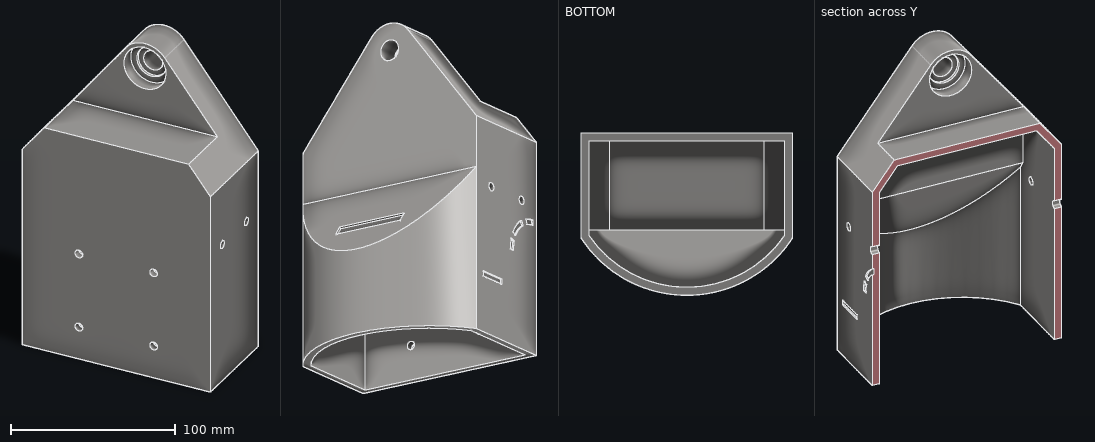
import cadquery as cq
import math

width = 128.3
block_depth = 63.7
total_depth = 98.5
total_height = 207.0
shoulder_height = 136.0
step_height = 154.8
belly_low_height = 53.5
belly_top_height = 103.5
wall = 5.0

lug_thickness = 25.7
lug_radius = 17.2
bearing_seat = (28.5, 9.1)
relief = (20.3, 11.0)
shaft_hole = (13.0, lug_thickness)

screw_diameter = 5.2
front_hole_spacing = 51.0
front_hole_low_height = 22.1
side_hole_height = 94.8

belly_groove_length = 47.5
belly_groove_width = 7.0
belly_groove_depth = 1.5
belly_groove_y = 84.6
side_groove_depth = 1.0
side_groove_width = 3.3
bar_groove_length = 19.5
bar_groove_y = 46.5
bar_groove_height = 37.3
arc_groove_outer_radius = 24.5
arc_groove_y = 3.3
arc_groove_height = 61.0
arc_groove_spans = [(-1, 16), (27, 59), (71, 89)]

half_width = width / 2
belly_bulge = total_depth - block_depth
belly_radius = (half_width**2 + belly_bulge**2) / (2 * belly_bulge)
belly_axis_y = total_depth - belly_radius
belly_slope = (belly_top_height - belly_low_height) / belly_bulge
lug_front = block_depth - lug_thickness
lug_center_height = total_height - lug_radius

lug_rise = lug_center_height - shoulder_height
touch_angle = math.acos(lug_radius / math.hypot(half_width, lug_rise)) - math.atan2(lug_rise, half_width)
touch_x = lug_radius * math.cos(touch_angle)
touch_height = lug_center_height + lug_radius * math.sin(touch_angle)
shoulder_slope = (touch_height - shoulder_height) / (half_width - touch_x)


def make_block():
    """Block with sloping shoulders, narrowing to the lug and cut back above the step."""
    block = (
        cq.Workplane("XZ")
        .moveTo(-half_width, 0)
        .lineTo(half_width, 0)
        .lineTo(half_width, shoulder_height)
        .lineTo(touch_x, touch_height)
        .threePointArc((0, total_height), (-touch_x, touch_height))
        .lineTo(-half_width, shoulder_height)
        .close()
        .extrude(-block_depth)
    )
    in_front_of_lug = cq.Workplane("XY", origin=(0, 0, step_height)).box(
        width, lug_front, total_height - step_height, centered=(True, False, False)
    )
    return block.cut(in_front_of_lug)


def make_belly(inset):
    """Belly with its back and sloping top moved inward by inset, reaching forward into the block."""
    front = block_depth - 2 * wall
    half = half_width - inset
    back = total_depth - inset
    corner_y = belly_axis_y + math.sqrt((belly_radius - inset) ** 2 - half**2)
    height_drop = inset * math.hypot(1, belly_slope)
    front_height = belly_top_height - height_drop + belly_slope * (block_depth - front)
    back_height = front_height - belly_slope * (back - front)
    plan = (
        cq.Workplane("XY")
        .moveTo(-half, corner_y)
        .threePointArc((0, back), (half, corner_y))
        .lineTo(half, front)
        .lineTo(-half, front)
        .close()
        .extrude(total_height)
    )
    side = (
        cq.Workplane("YZ")
        .moveTo(front, 0)
        .lineTo(back, 0)
        .lineTo(back, back_height)
        .lineTo(front, front_height)
        .close()
        .extrude(half, both=True)
    )
    return plan.intersect(side)


def make_cavity():
    """Inside of the block and belly, one wall thickness in from the outer faces."""
    half = half_width - wall
    ceiling = step_height - wall
    corner_height = shoulder_height + shoulder_slope * wall - wall * math.hypot(1, shoulder_slope)
    ceiling_half = half - (ceiling - corner_height) / shoulder_slope
    block_inside = (
        cq.Workplane("XZ", origin=(0, wall, 0))
        .moveTo(-half, 0)
        .lineTo(half, 0)
        .lineTo(half, corner_height)
        .lineTo(ceiling_half, ceiling)
        .lineTo(-ceiling_half, ceiling)
        .lineTo(-half, corner_height)
        .close()
        .extrude(-(block_depth - 2 * wall))
    )
    return block_inside.union(make_belly(wall))


def cylinder_along_y(diameter, length, x, y, z):
    return cq.Workplane("XZ", origin=(x, y, z)).circle(diameter / 2).extrude(-length)


def make_lug_bore():
    """Bearing seat, relief and shaft hole, all starting at the lug's front face."""
    bore = cq.Workplane("XY")
    for diameter, depth in (bearing_seat, relief, shaft_hole):
        bore = bore.add(cylinder_along_y(diameter, depth, 0, lug_front, lug_center_height))
    return bore.combine()


def make_screw_holes():
    """Square of four holes in the front wall and two holes through both side walls."""
    holes = cq.Workplane("XY")
    for x in (-front_hole_spacing / 2, front_hole_spacing / 2):
        for z in (front_hole_low_height, front_hole_low_height + front_hole_spacing):
            holes = holes.add(cylinder_along_y(screw_diameter, wall, x, 0, z))
    for y in (block_depth / 4, block_depth * 3 / 4):
        side_hole = cq.Workplane("YZ", origin=(-half_width, y, side_hole_height))
        holes = holes.add(side_hole.circle(screw_diameter / 2).extrude(width))
    return holes.combine()


def make_belly_groove():
    """Straight groove across the belly's sloping top."""
    groove_height = belly_top_height - belly_slope * (belly_groove_y - block_depth)
    slope_plane = cq.Plane(
        origin=(0, belly_groove_y, groove_height), xDir=(1, 0, 0), normal=(0, belly_slope, 1)
    )
    groove = cq.Workplane(slope_plane).rect(belly_groove_length, belly_groove_width)
    return groove.extrude(-belly_groove_depth)


def make_arc_groove(start, end):
    """Piece of a ring in the left side face; angles turn from +Y toward +Z."""
    inner_radius = arc_groove_outer_radius - side_groove_width

    def point(radius, degrees):
        angle = math.radians(degrees)
        return (radius * math.cos(angle), radius * math.sin(angle))

    middle = (start + end) / 2
    return (
        cq.Workplane("YZ", origin=(-half_width, arc_groove_y, arc_groove_height))
        .moveTo(*point(arc_groove_outer_radius, start))
        .threePointArc(point(arc_groove_outer_radius, middle), point(arc_groove_outer_radius, end))
        .lineTo(*point(inner_radius, end))
        .threePointArc(point(inner_radius, middle), point(inner_radius, start))
        .close()
        .extrude(side_groove_depth)
    )


def make_side_grooves():
    """Straight bar and broken arc in the left side face."""
    grooves = (
        cq.Workplane("YZ", origin=(-half_width, bar_groove_y, bar_groove_height))
        .rect(bar_groove_length, side_groove_width)
        .extrude(side_groove_depth)
    )
    for start, end in arc_groove_spans:
        grooves = grooves.add(make_arc_groove(start, end))
    return grooves.combine()


result = (
    make_block()
    .union(make_belly(0))
    .cut(make_cavity())
    .cut(make_lug_bore())
    .cut(make_screw_holes())
    .cut(make_belly_groove())
    .cut(make_side_grooves())
    .solids()
)